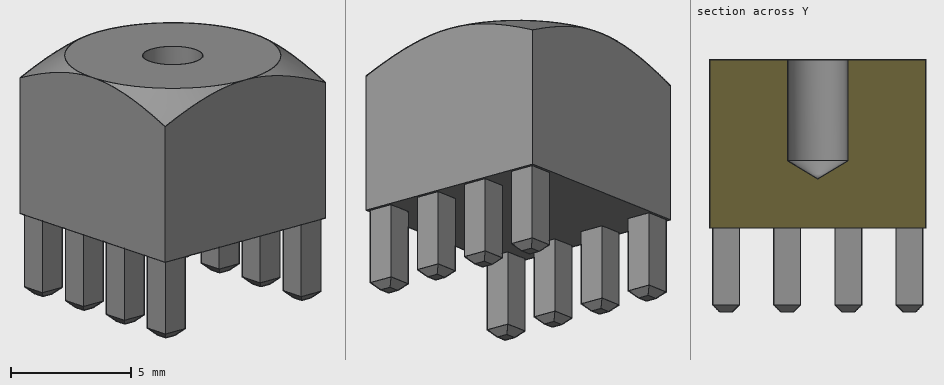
import cadquery as cq
import math

total_height = 10.5
body_width = 9.0
body_height = 7.0

crown_angle = 30.0

hole_diameter = 2.5
hole_depth = 4.2
drill_point_angle = 118.0

pin_width = 1.12
pin_pitch = 2.54
pins_per_row = 4
row_spacing = (pins_per_row - 1) * pin_pitch
tip_chamfer = 0.3
pin_length = total_height - body_height


def make_body():
    """Square block whose top corners are trimmed by a cone touching the side faces."""
    block = cq.Workplane("XY").box(body_width, body_width, body_height, centered=(True, True, False))
    top_radius = body_width / 2
    base_radius = top_radius + body_height / math.tan(math.radians(crown_angle))
    cone = cq.Workplane(cq.Solid.makeCone(base_radius, top_radius, body_height))
    return block.intersect(cone)


def make_hole():
    """Drilled hole with a conical bottom, revolved about the Z axis."""
    radius = hole_diameter / 2
    point_depth = radius / math.tan(math.radians(drill_point_angle / 2))
    floor = body_height - hole_depth
    return (
        cq.Workplane("XZ")
        .moveTo(0, body_height)
        .lineTo(radius, body_height)
        .lineTo(radius, floor)
        .lineTo(0, floor - point_depth)
        .close()
        .revolve(360, (0, 0, 0), (0, 1, 0))
    )


def make_pin():
    """Square pin below the body, chamfered around its lower end."""
    pin = cq.Workplane("XY").rect(pin_width, pin_width).extrude(-pin_length)
    return pin.faces("<Z").chamfer(tip_chamfer)


result = make_body().cut(make_hole())
pin = make_pin()
for row in (-1, 1):
    for column in range(pins_per_row):
        x = (column - (pins_per_row - 1) / 2) * pin_pitch
        result = result.union(pin.translate((x, row * row_spacing / 2, 0)))